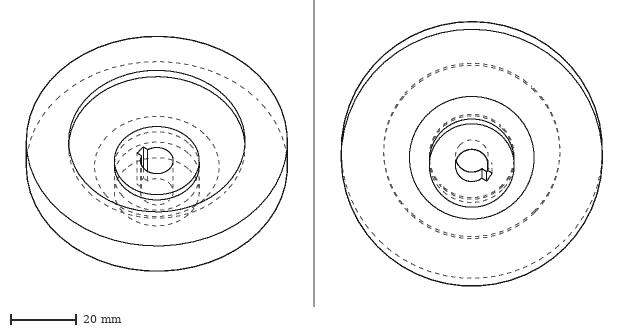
import cadquery as cq

rim_diameter = 80.0
rim_width = 13.0
total_height = 26.0
rim_bottom = total_height - rim_width

hub_diameter = 26.0
hub_radius = hub_diameter / 2
hub_top = 16.0
bore_diameter = 10.0
keyway_width = 3.0
keyway_reach = 6.5

dish_diameter = 54.0
dish_radius = dish_diameter / 2
dish_wall_depth = 3.25
dish_wall_bottom = total_height - dish_wall_depth
web_top_at_hub = 13.3
web_bottom_at_hub = 8.0
web_bottom_radius = 19.1


def make_wheel_body():
    """Revolve the half section (radius, height) of rim, web and hub around Z."""
    half_section = [
        (0, 0),
        (hub_radius, 0),
        (hub_radius, web_bottom_at_hub),
        (web_bottom_radius, rim_bottom),
        (rim_diameter / 2, rim_bottom),
        (rim_diameter / 2, total_height),
        (dish_radius, total_height),
        (dish_radius, dish_wall_bottom),
        (hub_radius, web_top_at_hub),
        (hub_radius, hub_top),
        (0, hub_top),
    ]
    return cq.Workplane("XZ").polyline(half_section).close().revolve(360, (0, 0, 0), (0, 1, 0))


def make_keyed_bore():
    """Through bore with a rectangular keyway on the -X side."""
    bore = cq.Workplane("XY").circle(bore_diameter / 2).extrude(hub_top)
    keyway = (
        cq.Workplane("XY")
        .center(-keyway_reach / 2, 0)
        .rect(keyway_reach, keyway_width)
        .extrude(hub_top)
    )
    return bore.union(keyway)


result = make_wheel_body().cut(make_keyed_bore())